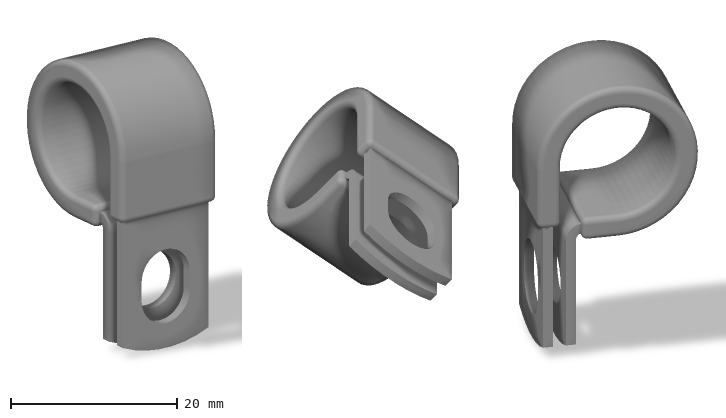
import cadquery as cq
import math

outer_radius = 9.95
cushion_thickness = 2.82
cushion_width = 14.3
edge_radius = 0.75
right_end_drop = 7.9
lower_end_reach = 4.48

strap_thickness = 1.25
strap_width = 12.7
bend_inner_radius = 1.0
overall_height = 35.27
tip_sagitta = 1.3
leg_gap = 1.6
hole_diameter = 7.15
slot_travel = 2.25
hole_drop = 17.42

inner_radius = outer_radius - cushion_thickness
middle_radius = outer_radius - cushion_thickness / 2
strap_outer_radius = middle_radius + strap_thickness / 2
strap_inner_radius = middle_radius - strap_thickness / 2
bend_outer_radius = bend_inner_radius + strap_thickness
bottom_z = outer_radius - overall_height
left_leg_right_x = strap_inner_radius - leg_gap
left_leg_left_x = left_leg_right_x - strap_thickness
bend_start_x = left_leg_right_x - bend_outer_radius
bend_center_z = -strap_inner_radius - bend_outer_radius


def centered_extrusion(profile, width):
    """Extrude an XZ profile equally to both sides of Y = 0."""
    return profile.extrude(width / 2, both=True)


def make_cushion():
    """Three-quarter loop with two straight ends and all edges rounded."""
    diagonal = math.sqrt(0.5)
    profile = (
        cq.Workplane("XZ")
        .moveTo(outer_radius, -right_end_drop)
        .lineTo(outer_radius, 0)
        .threePointArc((-outer_radius * diagonal, outer_radius * diagonal), (0, -outer_radius))
        .lineTo(lower_end_reach, -outer_radius)
        .lineTo(lower_end_reach, -inner_radius)
        .lineTo(0, -inner_radius)
        .threePointArc((-inner_radius * diagonal, inner_radius * diagonal), (inner_radius, 0))
        .lineTo(inner_radius, -right_end_drop)
        .close()
    )
    body = centered_extrusion(profile, cushion_width)
    end_faces = body.faces(cq.selectors.BoxSelector(
        (inner_radius, -0.35, -right_end_drop - 0.35), (outer_radius, 0.35, -right_end_drop + 0.35)
    )).add(body.faces(cq.selectors.BoxSelector(
        (lower_end_reach - 0.35, -0.35, -outer_radius), (lower_end_reach + 0.35, 0.35, -inner_radius)
    )))
    rounded_edges = end_faces.add(body.faces("<Y or >Y")).edges()
    return body.newObject(list(set(rounded_edges.vals()))).fillet(edge_radius)


def make_right_leg():
    """Straight strap leg leaving the right end of the cushion."""
    profile = (
        cq.Workplane("XZ")
        .moveTo(strap_inner_radius, bottom_z)
        .lineTo(strap_outer_radius, bottom_z)
        .lineTo(strap_outer_radius, 0)
        .lineTo(strap_inner_radius, 0)
        .close()
    )
    return centered_extrusion(profile, strap_width)


def make_left_leg():
    """Strap leg leaving the lower cushion end and bending downward."""
    diagonal = math.sqrt(0.5)
    profile = (
        cq.Workplane("XZ")
        .moveTo(0, -strap_inner_radius)
        .lineTo(bend_start_x, -strap_inner_radius)
        .threePointArc(
            (bend_start_x + bend_outer_radius * diagonal, bend_center_z + bend_outer_radius * diagonal),
            (left_leg_right_x, bend_center_z),
        )
        .lineTo(left_leg_right_x, bottom_z)
        .lineTo(left_leg_left_x, bottom_z)
        .lineTo(left_leg_left_x, bend_center_z)
        .threePointArc(
            (bend_start_x + bend_inner_radius * diagonal, bend_center_z + bend_inner_radius * diagonal),
            (bend_start_x, -strap_outer_radius),
        )
        .lineTo(0, -strap_outer_radius)
        .close()
    )
    return centered_extrusion(profile, strap_width)


def make_leg_outline():
    """Solid outline with an arched tip, used to trim both legs."""
    half_width = strap_width / 2
    tip_corner_z = bottom_z + tip_sagitta
    return (
        cq.Workplane("YZ")
        .moveTo(-half_width, 0)
        .lineTo(-half_width, tip_corner_z)
        .threePointArc((0, bottom_z), (half_width, tip_corner_z))
        .lineTo(half_width, 0)
        .close()
        .extrude(outer_radius)
    )


def make_round_hole():
    """Cutter for the round hole in the left leg."""
    return (
        cq.Workplane("YZ", origin=(0, 0, -hole_drop))
        .circle(hole_diameter / 2)
        .extrude(left_leg_right_x)
    )


def make_slot():
    """Cutter for the vertical slot in the right leg."""
    return (
        cq.Workplane("YZ", origin=(left_leg_right_x, 0, -hole_drop))
        .slot2D(hole_diameter + slot_travel, hole_diameter, 90)
        .extrude(outer_radius - left_leg_right_x)
    )


leg_outline = make_leg_outline()
left_leg = make_left_leg().intersect(leg_outline).cut(make_round_hole())
right_leg = make_right_leg().intersect(leg_outline).cut(make_slot())
result = make_cushion().union(left_leg).union(right_leg)